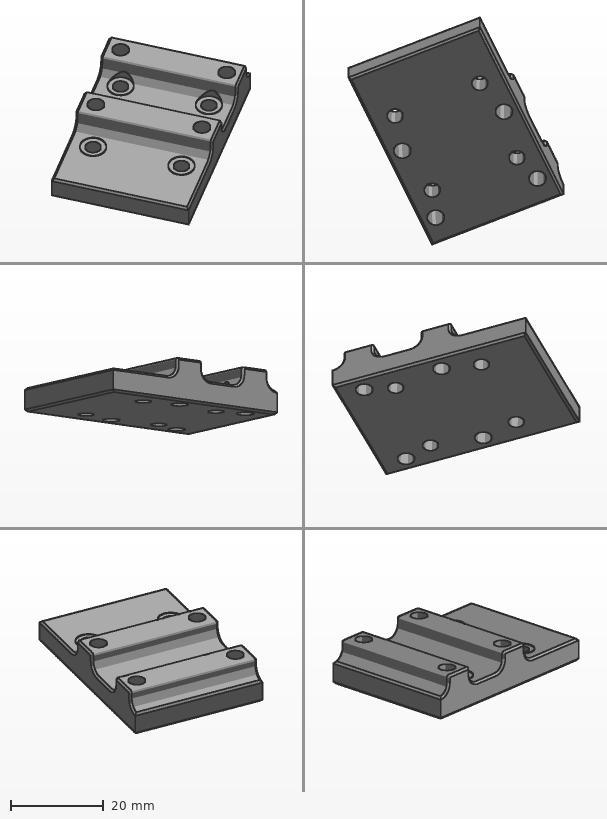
import cadquery as cq

width = 31.0
length = 45.0
height = 9.5
floor_height = 5.2
edge_chamfer = 0.5

rib_width = 6.98
rib_pitch = 18.0
foot_radius = 2.5
rib_top_radius = 0.6
back_edge = length / 2
first_rib_center = back_edge - foot_radius - rib_width / 2
rib_centers = [first_rib_center, first_rib_center - rib_pitch]

rib_hole_diameter = 3.7
rib_hole_spacing = 24.0

floor_hole_diameter = 3.4
floor_hole_spacing = 20.0
floor_hole_pitch = 20.0
first_floor_hole_from_back = 12.5
counterbore_diameter = 5.7
counterbore_depth = 0.2


def make_body():
    """Extrude the ribbed YZ profile across X, round the rib tops and chamfer the outer edges."""
    foot_top = floor_height + foot_radius
    profile = (
        cq.Workplane("YZ", origin=(-width / 2, 0, 0))
        .moveTo(-length / 2, 0)
        .lineTo(back_edge, 0)
        .lineTo(back_edge, floor_height)
    )
    for center in rib_centers:
        back_wall = center + rib_width / 2
        front_wall = center - rib_width / 2
        if center != first_rib_center:
            profile = profile.lineTo(back_wall + foot_radius, floor_height)
        profile = (
            profile.radiusArc((back_wall, foot_top), foot_radius)
            .lineTo(back_wall, height)
            .lineTo(front_wall, height)
            .lineTo(front_wall, foot_top)
            .radiusArc((front_wall - foot_radius, floor_height), foot_radius)
        )
    body = profile.lineTo(-length / 2, floor_height).close().extrude(width)

    body = body.faces(">Z").edges("|X").fillet(rib_top_radius)

    bottom_edges = body.faces("<Z").edges()
    rim_edges = body.edges(
        cq.selectors.BoxSelector(
            (-width, -length, floor_height - edge_chamfer),
            (width, length, height + edge_chamfer),
        )
    )
    outer_rim = rim_edges.filter(is_outer_edge)
    chamfered = bottom_edges.add(outer_rim)
    return body.newObject(chamfered.vals()).chamfer(edge_chamfer)


def is_outer_edge(edge):
    """True for an edge that lies wholly on a side, front or back face."""
    box = edge.BoundingBox()
    tolerance = 0.005
    on_side = box.xlen < tolerance and abs(abs(box.center.x) - width / 2) < tolerance
    on_end = box.ylen < tolerance and abs(abs(box.center.y) - length / 2) < tolerance
    is_plate_corner = on_side and on_end
    return (on_side or on_end) and not is_plate_corner


def hole_row(y, spacing, diameter, bottom):
    """A pair of vertical cutters at one Y, reaching from bottom past the rib tops."""
    return (
        cq.Workplane("XY", origin=(0, y, bottom))
        .pushPoints([(-spacing / 2, 0), (spacing / 2, 0)])
        .circle(diameter / 2)
        .extrude(height)
    )


result = make_body()

for center in rib_centers:
    result = result.cut(hole_row(center, rib_hole_spacing, rib_hole_diameter, 0))

first_floor_hole = back_edge - first_floor_hole_from_back
counterbore_floor = floor_height - counterbore_depth
for y in [first_floor_hole, first_floor_hole - floor_hole_pitch]:
    result = result.cut(hole_row(y, floor_hole_spacing, floor_hole_diameter, 0))
    result = result.cut(hole_row(y, floor_hole_spacing, counterbore_diameter, counterbore_floor))